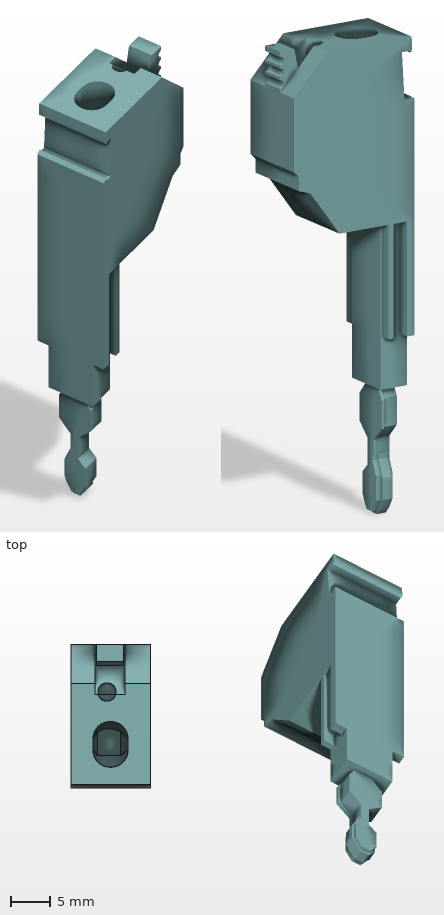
import cadquery as cq
import math


width = 10.15
depth = 18.25
height = 63.8

stem_bottom = 24.3
body_bottom = 39.5
top_back = 13.3
slope_bottom = 58.45
lip_front = 0.4
lip_bottom = 61.95
ledge_height = 55.6

flange_thickness = 1.15
web_inset = 1.7
web_depth = 4.0
foot_bottom = 17.3
rear_flange_front = 3.05
rear_flange_back = 3.8
rear_flange_inset = 0.2

lever_left = 3.25
lever_width = 3.45
lever_top_front = 16.1
lever_base_front = 15.55
lever_base_height = 61.4
lever_embedding = 0.65
groove_radius = 0.6
groove_pitch = 1.5
groove_top = 62.5
groove_count = 3

slot_left = 3.05
slot_right = 6.9
slot_front = 11.85
test_hole_x = 4.6
test_hole_y = 12.2
test_hole_radius = 1.15
test_hole_floor = 60.6

shaft_depth = 7.65
funnel_x = 5.05
funnel_y = 5.55
funnel_radius = 2.25
funnel_length = 5.8
funnel_depth = 1.3
funnel_floor_left = 3.4
funnel_floor_right = 6.3
funnel_floor_front = 4.15
funnel_floor_corner = 7.15
funnel_floor_back = 7.5
funnel_ramp_left = 4.6
funnel_ramp_right = 5.3

blade_front = 0.95
blade_back = 3.5
backing_front = 3.1
core_front = 1.35
core_back = 2.75


def plate_yz(points, left, right):
    """Flat plate with a YZ outline, between two X positions."""
    return cq.Workplane("YZ").workplane(offset=left).polyline(points).close().extrude(right - left)


def plate_xz(points, front, back):
    """Flat plate with an XZ outline, between two Y positions."""
    return cq.Workplane("XZ").workplane(offset=-front).polyline(points).close().extrude(front - back)


def block(x, y, z):
    """Box given by its (low, high) limits on each axis."""
    size = (x[1] - x[0], y[1] - y[0], z[1] - z[0])
    return cq.Workplane("XY").box(*size, centered=False).translate((x[0], y[0], z[0]))


def make_body():
    outline = [
        (0, stem_bottom),
        (0, ledge_height),
        (0.6, 55.95),
        (0.6, ledge_height),
        (1.5, ledge_height),
        (1.9, lip_bottom),
        (0.75, lip_bottom),
        (0.65, 61.7),
        (lip_front, lip_bottom),
        (lip_front, 62.35),
        (0.45, height),
        (top_back, height),
        (depth, slope_bottom),
        (depth, 48.7),
        (17.5, 47.9),
        (17.5, 46.05),
        (15.75, 45.5),
        (11.35, body_bottom),
        (flange_thickness, body_bottom),
        (flange_thickness, stem_bottom),
    ]
    return plate_yz(outline, 0, width)


def make_stem():
    web_x = (web_inset, width - web_inset)
    web = block(web_x, (0, web_depth), (foot_bottom, body_bottom))
    flange_x = (rear_flange_inset, width - rear_flange_inset)
    rear_flange = block(flange_x, (rear_flange_front, rear_flange_back), (stem_bottom, body_bottom))
    return web.union(rear_flange)


def make_lever():
    embedded_bottom = slope_bottom - lever_embedding
    outline = [
        (lever_top_front, height),
        (depth, height),
        (depth, embedded_bottom),
        (lever_base_front, embedded_bottom),
        (lever_base_front, lever_base_height),
    ]
    lever = plate_yz(outline, lever_left, lever_left + lever_width)
    for index in range(groove_count):
        groove_z = groove_top - index * groove_pitch
        groove = (
            cq.Workplane("YZ")
            .workplane(offset=lever_left)
            .center(depth, groove_z)
            .circle(groove_radius)
            .extrude(lever_width)
        )
        lever = lever.cut(groove)
    return lever


def make_slot():
    """Recess whose floor runs parallel to the rear slope."""
    shift = top_back - slot_front
    outline = [
        (slot_front, height),
        (depth - shift, slope_bottom),
        (depth, slope_bottom),
        (top_back, height),
    ]
    return plate_yz(outline, slot_left, slot_right)


def make_test_hole():
    """Round hole whose floor rises at 45 degrees towards the front."""
    hole = (
        cq.Workplane("XY", origin=(test_hole_x, test_hole_y, test_hole_floor))
        .circle(test_hole_radius)
        .extrude(height - test_hole_floor)
    )
    ramp_front = test_hole_y - test_hole_radius
    ramp_rise = slot_front - ramp_front
    ramp_outline = [
        (ramp_front, test_hole_floor),
        (slot_front, test_hole_floor),
        (ramp_front, test_hole_floor + ramp_rise),
    ]
    ramp = plate_yz(ramp_outline, slot_left, slot_right)
    return hole.cut(ramp)


def make_shaft():
    """Obround shaft tapering to a floor with a straight front edge and an arched rear edge."""
    funnel_top = height - shaft_depth
    left = funnel_x - funnel_radius
    right = funnel_x + funnel_radius
    half_straight = funnel_length / 2 - funnel_radius
    arc_front = funnel_y - half_straight
    arc_back = funnel_y + half_straight

    def front_arc_point(degrees):
        angle = math.radians(degrees)
        return (funnel_x + funnel_radius * math.cos(angle), arc_front + funnel_radius * math.sin(angle))

    ramp_left, ramp_right = 240, 300
    mouth = (
        cq.Workplane("XY", origin=(0, 0, funnel_top))
        .moveTo(left, arc_back)
        .lineTo(left, arc_front)
        .threePointArc(front_arc_point((180 + ramp_left) / 2), front_arc_point(ramp_left))
        .threePointArc(front_arc_point(270), front_arc_point(ramp_right))
        .threePointArc(front_arc_point((ramp_right + 360) / 2), (right, arc_front))
        .lineTo(right, arc_back)
        .threePointArc((funnel_x, arc_back + funnel_radius), (left, arc_back))
        .close()
    )
    floor_middle = (funnel_floor_left + funnel_floor_right) / 2
    floor = (
        cq.Workplane("XY", origin=(0, 0, funnel_top - funnel_depth))
        .moveTo(funnel_floor_left, funnel_floor_corner)
        .lineTo(funnel_floor_left, funnel_floor_front)
        .lineTo(funnel_ramp_left, funnel_floor_front)
        .lineTo(funnel_ramp_right, funnel_floor_front)
        .lineTo(funnel_floor_right, funnel_floor_front)
        .lineTo(funnel_floor_right, funnel_floor_corner)
        .threePointArc((floor_middle, funnel_floor_back), (funnel_floor_left, funnel_floor_corner))
        .close()
    )
    taper = cq.Workplane(cq.Solid.makeLoft([floor.val(), mouth.val()], True))
    shaft = mouth.extrude(shaft_depth)
    return shaft.union(taper)


def make_blade():
    neck_left = 4.4
    neck_right = 5.55
    upper_right = 7.45
    lower_right = 6.7
    joint_height = 8.05
    blade_outline = [
        (3.45, foot_bottom),
        (2.7, 15.8),
        (2.7, 12.0),
        (neck_left, 10.15),
        (neck_left, 7.3),
        (3.65, 5.35),
        (3.65, 2.1),
        (4.5, 0.5),
        (5.8, 0.5),
        (lower_right, 2.25),
        (lower_right, 5.3),
        (neck_right, 6.45),
        (neck_right, 9.95),
        (upper_right, 11.85),
        (upper_right, 15.45),
        (5.9, foot_bottom),
    ]
    backing_outline = [
        (3.05, foot_bottom),
        (2.3, 15.6),
        (2.3, 11.85),
        (4.2, 10.0),
        (4.2, joint_height),
        (neck_right, joint_height),
        (neck_right, 9.95),
        (upper_right, 11.85),
        (upper_right, 15.45),
        (5.9, foot_bottom),
    ]
    core_outline = [
        (4.2, joint_height),
        (4.2, 7.4),
        (3.25, 5.05),
        (3.25, 2.2),
        (4.2, 0.5),
        (4.6, 0),
        (5.7, 0),
        (lower_right, 1.5),
        (lower_right, 5.3),
        (neck_right, 6.45),
        (neck_right, joint_height),
    ]
    blade = plate_xz(blade_outline, blade_front, blade_back)
    backing = plate_xz(backing_outline, backing_front, blade_back)
    core = plate_xz(core_outline, core_front, core_back)
    return blade.union(backing).union(core)


housing = make_body().union(make_stem())
housing = housing.cut(make_slot()).cut(make_test_hole()).cut(make_shaft())
result = housing.union(make_lever()).union(make_blade())